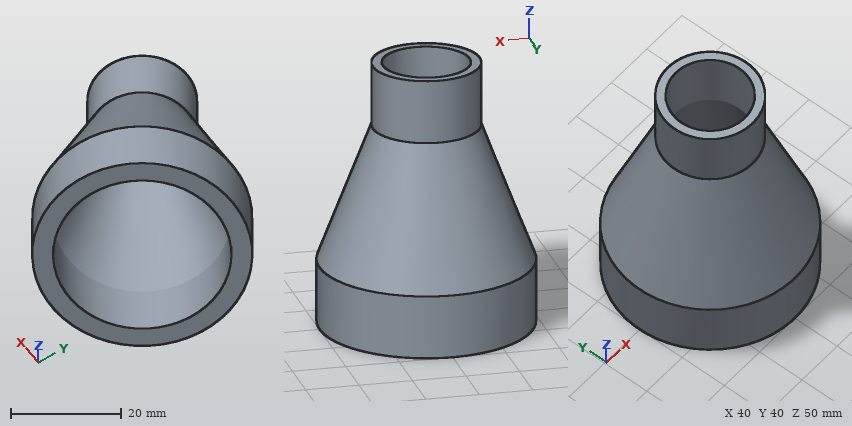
import cadquery as cq

total_height = 50.0
collar_height = 12.0
wide_diameter = 40.0
narrow_diameter = wide_diameter / 2
narrow_bore = 16.2

bore_ratio = narrow_bore / narrow_diameter
wide_bore = wide_diameter * bore_ratio


def reducer_body(lower_diameter, upper_diameter):
    """Solid of revolution: wide collar, cone and narrow collar."""
    lower_radius = lower_diameter / 2
    upper_radius = upper_diameter / 2
    profile = [
        (0, 0),
        (lower_radius, 0),
        (lower_radius, collar_height),
        (upper_radius, total_height - collar_height),
        (upper_radius, total_height),
        (0, total_height),
    ]
    return cq.Workplane("XZ").polyline(profile).close().revolve(360, (0, 0, 0), (0, 1, 0))


outside = reducer_body(wide_diameter, narrow_diameter)
bore = reducer_body(wide_bore, narrow_bore)
result = outside.cut(bore)